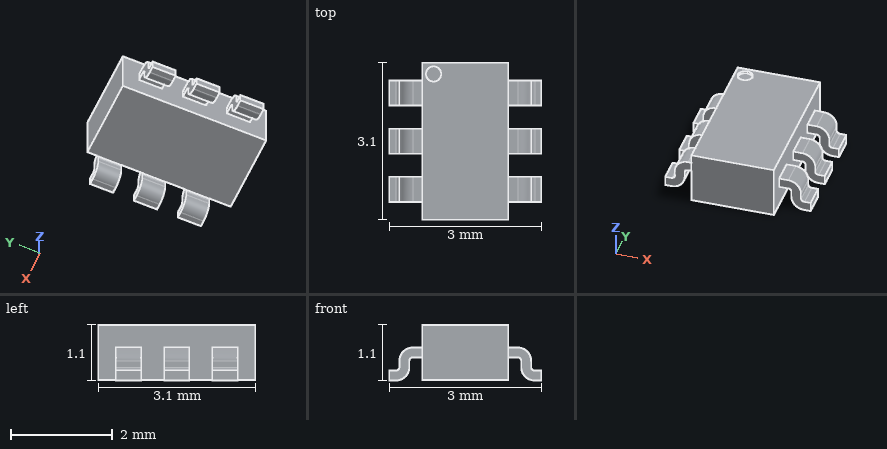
import cadquery as cq

total_length = 3.0
total_height = 1.1
standoff = 0.01

body_length = 1.7
body_width = 3.1
body_height = total_height - standoff

lead_count_per_side = 3
lead_pitch = 0.95
lead_width = 0.5
lead_thickness = 0.2
lead_top = standoff + body_height / 2 + lead_thickness / 2
foot_length = 0.2
inner_radius = lead_thickness / 3
outer_radius = inner_radius + lead_thickness

mark_diameter = 0.3
mark_depth = 0.05
mark_inset = 0.225


def make_body():
    """Rectangular body with the round pin 1 recess in its top face."""
    body = cq.Workplane("XY").box(
        body_length, body_width, body_height, centered=(True, True, False)
    )
    body = body.translate((0, 0, standoff))
    mark = (
        cq.Workplane("XY", origin=(0, 0, total_height - mark_depth))
        .center(mark_inset - body_length / 2, body_width / 2 - mark_inset)
        .circle(mark_diameter / 2)
        .extrude(mark_depth)
    )
    return body.cut(mark)


def make_left_lead():
    """S-shaped lead on the -X side, centred on Y = 0."""
    tip_x = -total_length / 2
    body_x = -body_length / 2
    upright_outer_x = tip_x + foot_length
    upright_inner_x = upright_outer_x + lead_thickness
    upper_bend_x = upright_outer_x + outer_radius
    lower_bend_x = upright_outer_x - inner_radius
    upper_bend_z = lead_top - outer_radius
    lower_bend_z = outer_radius
    profile = (
        cq.Workplane("XZ")
        .moveTo(tip_x, 0)
        .lineTo(lower_bend_x, 0)
        .radiusArc((upright_inner_x, lower_bend_z), -outer_radius)
        .lineTo(upright_inner_x, upper_bend_z)
        .radiusArc((upper_bend_x, lead_top - lead_thickness), inner_radius)
        .lineTo(body_x, lead_top - lead_thickness)
        .lineTo(body_x, lead_top)
        .lineTo(upper_bend_x, lead_top)
        .radiusArc((upright_outer_x, upper_bend_z), -outer_radius)
        .lineTo(upright_outer_x, lower_bend_z)
        .radiusArc((lower_bend_x, lead_thickness), inner_radius)
        .lineTo(tip_x, lead_thickness)
        .close()
    )
    return profile.extrude(lead_width / 2, both=True)


result = make_body()
left_lead = make_left_lead()
right_lead = left_lead.mirror("YZ")
for index in range(lead_count_per_side):
    lead_y = (index - (lead_count_per_side - 1) / 2) * lead_pitch
    for lead in (left_lead, right_lead):
        result = result.union(lead.translate((0, lead_y, 0)))